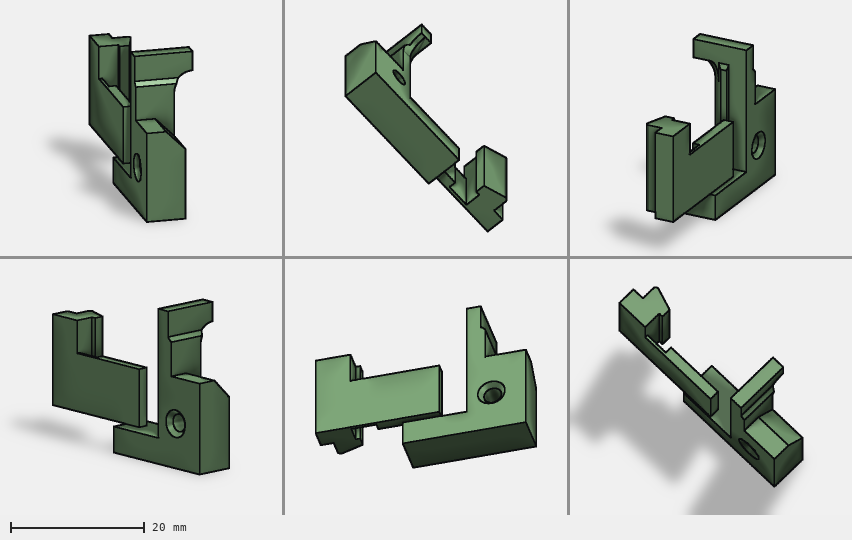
import cadquery as cq
import math

BRACKET_LEFT = 13.52
BRACKET_RIGHT = 32.65
PLATE_DEPTH = 6.0
FOOT_HEIGHT = 4.0
BLOCK_HEIGHT = 14.0
ARM_LEFT = 23.45
ARM_WIDTH = 2.2
ARM_RIGHT = ARM_LEFT + ARM_WIDTH
TOTAL_HEIGHT = 23.9

HOOK_DEPTH = 9.0
HOOK_HEIGHT = 3.0
HOOK_UNDERSIDE = TOTAL_HEIGHT - HOOK_HEIGHT
HOOK_ROUND = HOOK_DEPTH - PLATE_DEPTH
ROUND_BOTTOM = HOOK_UNDERSIDE - HOOK_ROUND

PAD_WIDTH = 0.7
PAD_TOP = 19.95
PAD_RIGHT = ARM_RIGHT + PAD_WIDTH

RIB_WIDTH = 0.7
RIB_LEFT = ARM_LEFT - RIB_WIDTH
RIB_FRONT = 3.0
RIB_LAND = 1.0
RIB_BACK_AT_ARM = RIB_FRONT + RIB_LAND + RIB_WIDTH
RIB_TOP = HOOK_UNDERSIDE
ARM_BEVEL = PLATE_DEPTH - RIB_BACK_AT_ARM
BEVEL_RIGHT = ARM_LEFT + ARM_BEVEL
CURVE_STEPS = 8

BLOCK_TOP_DEPTH = 3.0
BLOCK_SLOPE = PLATE_DEPTH - BLOCK_TOP_DEPTH

HOLE_X = 27.3
HOLE_Z = 6.9
HOLE_DIAMETER = 2.7
SINK_DIAMETER = 4.2
SINK_ANGLE = 90

CLIP_BOTTOM = 4.9
CLIP_HEIGHT = 14.0
CLIP_LENGTH = 19.2
CLIP_PLATE_HEIGHT = 8.95
CLIP_PLATE_DEPTH = 1.6
WEB_DEPTH = 0.5
WEB_RIGHT = 9.3
POST_WIDTH = 5.42
POST_DEPTH = 3.0
LATCH_LEFT = 2.0
LATCH_RIGHT = 6.1
LATCH_NOSE_DEPTH = 4.55
LATCH_PEAK_DEPTH = 5.9
LATCH_ROUND = 0.5


def extrude_back(outline, depth):
    """Extrude an XZ outline from the front face (Y = 0) towards +Y."""
    return cq.Workplane("XZ").polyline(outline).close().extrude(-depth)


def bracket_blank():
    """Foot, block, arm and pad, as deep as the end of the hook."""
    outline = [
        (BRACKET_LEFT, 0),
        (BRACKET_RIGHT, 0),
        (BRACKET_RIGHT, BLOCK_HEIGHT),
        (PAD_RIGHT, BLOCK_HEIGHT),
        (PAD_RIGHT, PAD_TOP - PAD_WIDTH),
        (ARM_RIGHT, PAD_TOP),
        (ARM_RIGHT, TOTAL_HEIGHT),
        (ARM_LEFT, TOTAL_HEIGHT),
        (ARM_LEFT, FOOT_HEIGHT),
        (BRACKET_LEFT, FOOT_HEIGHT),
    ]
    return extrude_back(outline, HOOK_DEPTH)


def space_under_hook():
    """Volume behind the plate, rounded up into the underside of the hook."""
    middle = HOOK_ROUND * math.sqrt(0.5)
    return (
        cq.Workplane("YZ", origin=(BRACKET_LEFT, 0, 0))
        .moveTo(PLATE_DEPTH, 0)
        .lineTo(PLATE_DEPTH, ROUND_BOTTOM)
        .threePointArc((HOOK_DEPTH - middle, ROUND_BOTTOM + middle), (HOOK_DEPTH, HOOK_UNDERSIDE))
        .lineTo(HOOK_DEPTH, 0)
        .close()
        .extrude(BRACKET_RIGHT - BRACKET_LEFT)
    )


def lower_bevel():
    """45 degree bevel on the back left edge of the arm, below the hook round."""
    return (
        cq.Workplane("XY", origin=(0, 0, FOOT_HEIGHT))
        .polyline([
            (ARM_LEFT, RIB_BACK_AT_ARM),
            (BEVEL_RIGHT, PLATE_DEPTH),
            (ARM_LEFT, PLATE_DEPTH),
        ])
        .close()
        .extrude(ROUND_BOTTOM - FOOT_HEIGHT)
    )


def quarter_curve(x, end_y, width):
    """Quarter ellipse at one X, rising from vertical to level with the hook's underside."""
    angles = [math.pi / 2 * step / CURVE_STEPS for step in range(CURVE_STEPS + 1)]
    points = [
        cq.Vector(x, end_y - width * math.cos(angle), ROUND_BOTTOM + HOOK_ROUND * math.sin(angle))
        for angle in angles
    ]
    return cq.Edge.makeSpline(points, tangents=[cq.Vector(0, 0, 1), cq.Vector(0, 1, 0)])


def flat_face(*corners):
    return cq.Face.makeFromWires(cq.Wire.makePolygon(corners, close=True))


def curved_edge_face(curve, *corners):
    """Flat face bounded by a curve and straight lines from its end, past the corners, to its start."""
    lines = cq.Wire.makePolygon([curve.endPoint(), *corners, curve.startPoint()])
    return cq.Face.makeFromWires(cq.Wire.assembleEdges([curve, *lines.Edges()]))


def upper_bevel():
    """Cutter that twists from the bevel into the hook round, between two quarter curves."""
    near = quarter_curve(ARM_LEFT, PLATE_DEPTH, ARM_BEVEL)
    far = quarter_curve(BEVEL_RIGHT, HOOK_DEPTH, HOOK_ROUND)
    near_low = cq.Vector(ARM_LEFT, HOOK_DEPTH, ROUND_BOTTOM)
    near_high = cq.Vector(ARM_LEFT, HOOK_DEPTH, HOOK_UNDERSIDE)
    far_low = cq.Vector(BEVEL_RIGHT, HOOK_DEPTH, ROUND_BOTTOM)
    far_high = far.endPoint()
    faces = [
        cq.Face.makeRuledSurface(near, far),
        curved_edge_face(near, near_high, near_low),
        curved_edge_face(far, far_low),
        flat_face(near.startPoint(), far.startPoint(), far_low, near_low),
        flat_face(near.endPoint(), near_high, far_high),
        flat_face(near_low, near_high, far_high, far_low),
    ]
    return cq.Workplane(cq.Solid.makeSolid(cq.Shell.makeShell(faces)))


def catch_rib():
    """Rib with a sloped back and a 45 degree sloped top."""
    rib = (
        cq.Workplane("XY", origin=(0, 0, FOOT_HEIGHT))
        .polyline([
            (ARM_LEFT, RIB_FRONT),
            (RIB_LEFT, RIB_FRONT),
            (RIB_LEFT, RIB_FRONT + RIB_LAND),
            (ARM_LEFT, RIB_BACK_AT_ARM),
        ])
        .close()
        .extrude(RIB_TOP - FOOT_HEIGHT)
    )
    top_cut = extrude_back(
        [(RIB_LEFT, RIB_TOP - RIB_WIDTH), (ARM_LEFT, RIB_TOP), (RIB_LEFT, RIB_TOP)], PLATE_DEPTH
    )
    return rib.cut(top_cut)


def block_slope():
    """Wedge removed behind the top of the block, to the right of the pad."""
    return (
        cq.Workplane("YZ", origin=(PAD_RIGHT, 0, 0))
        .polyline([
            (BLOCK_TOP_DEPTH, BLOCK_HEIGHT),
            (PLATE_DEPTH, BLOCK_HEIGHT - BLOCK_SLOPE),
            (PLATE_DEPTH, BLOCK_HEIGHT),
        ])
        .close()
        .extrude(BRACKET_RIGHT - PAD_RIGHT)
    )


def make_bracket():
    bracket = bracket_blank().cut(space_under_hook())
    bracket = bracket.cut(lower_bevel()).cut(upper_bevel())
    bracket = bracket.union(catch_rib()).cut(block_slope())
    return (
        bracket.copyWorkplane(cq.Workplane("XZ"))
        .pushPoints([(HOLE_X, HOLE_Z)])
        .cskHole(HOLE_DIAMETER, SINK_DIAMETER, SINK_ANGLE)
    )


def make_clip():
    """Stepped plate joined to a taller latch post."""
    plate = (
        cq.Workplane("XY", origin=(0, 0, CLIP_BOTTOM))
        .polyline([
            (POST_WIDTH, 0),
            (CLIP_LENGTH, 0),
            (CLIP_LENGTH, CLIP_PLATE_DEPTH),
            (WEB_RIGHT, CLIP_PLATE_DEPTH),
            (WEB_RIGHT, WEB_DEPTH),
            (POST_WIDTH, WEB_DEPTH),
        ])
        .close()
        .extrude(CLIP_PLATE_HEIGHT)
    )
    post = (
        cq.Workplane("XY", origin=(0, 0, CLIP_BOTTOM))
        .polyline([
            (0, 0),
            (POST_WIDTH, 0),
            (POST_WIDTH, POST_DEPTH),
            (LATCH_RIGHT, POST_DEPTH),
            (LATCH_RIGHT, LATCH_NOSE_DEPTH),
            (LATCH_LEFT, LATCH_PEAK_DEPTH),
            (LATCH_LEFT, POST_DEPTH),
            (0, POST_DEPTH),
        ])
        .close()
        .extrude(CLIP_HEIGHT)
    )
    peak = (LATCH_LEFT, LATCH_PEAK_DEPTH, CLIP_BOTTOM + CLIP_HEIGHT / 2)
    post = post.edges(cq.selectors.NearestToPointSelector(peak)).fillet(LATCH_ROUND)
    return post.union(plate)


bracket = make_bracket()
clip = make_clip()
result = cq.Compound.makeCompound([bracket.solids().val(), clip.solids().val()])